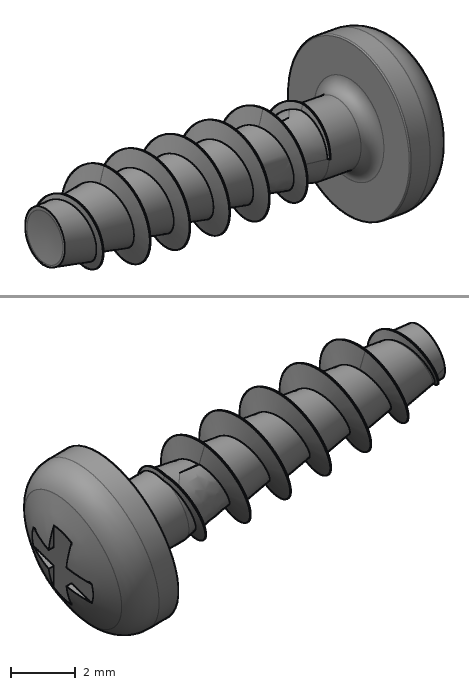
import cadquery as cq
import math

overall_length = 14.43

head_diameter = 6.1
head_radius = head_diameter / 2
head_side_height = 0.8
head_corner_radius = 1.15
crown_radius = 5.05
head_edge_fillet = 0.05

slot_width = 0.9
slot_depth = 0.2

neck_radius = 1.24
neck_fillet = 0.5
neck_length = 1.77
cone_length = 1.3

core_radius = 0.98
ramp_slope = 0.16
ramp_height = 0.23
ramp_root_sink = 0.03

dimple_radius = 0.9
dimple_depth = 0.09

pitch = 1.57
crest_radius = 1.76
crest_width = 0.05
tooth_height = 0.9
tooth_base_width = 0.56
thread_start_depth = 1.8
tooth_entry_radius = 1.31
tooth_first_radius = 1.43
entry_turns = 0.25
entry_drop = 0.03
fade_in_turns = 1.0
full_turns = 4.0
fade_out_turns = 1.5
ramp_full_turns = 5.6
ramp_fade_turns = 0.65

points_per_turn = 24

corner_center_radius = head_radius - head_corner_radius
centers_distance = crown_radius - head_corner_radius
crown_center_height = head_side_height - math.sqrt(centers_distance**2 - corner_center_radius**2)
crown_apex_height = crown_center_height + crown_radius

slot_corner_radius = slot_width / math.sqrt(2)
head_height = crown_center_height + math.sqrt(crown_radius**2 - slot_corner_radius**2)
shank_length = overall_length - head_height


def arc_point(center_x, center_y, radius, angle):
    """Point on an arc, with the angle measured from the screw axis."""
    return (center_x + radius * math.sin(angle), center_y + radius * math.cos(angle))


def make_head():
    tangent_angle = math.asin(corner_center_radius / centers_distance)
    corner_mid_angle = (tangent_angle + math.pi / 2) / 2
    profile = (
        cq.Workplane("XY")
        .lineTo(head_radius, 0)
        .lineTo(head_radius, head_side_height)
        .threePointArc(
            arc_point(corner_center_radius, head_side_height, head_corner_radius, corner_mid_angle),
            arc_point(corner_center_radius, head_side_height, head_corner_radius, tangent_angle),
        )
        .threePointArc(
            arc_point(0, crown_center_height, crown_radius, tangent_angle / 2),
            (0, crown_apex_height),
        )
        .close()
    )
    head = profile.revolve(360, (0, 0, 0), (0, 1, 0))
    head = head.faces("<Y").edges().fillet(head_edge_fillet)
    slot_floor = head_height - slot_depth
    slot_top = crown_apex_height + slot_depth
    slot_length = 2 * head_radius
    slot_block_height = slot_top - slot_floor
    slot_middle = (0, (slot_top + slot_floor) / 2, 0)
    slot_x = cq.Workplane("XY").box(slot_length, slot_block_height, slot_width).translate(slot_middle)
    slot_z = cq.Workplane("XY").box(slot_width, slot_block_height, slot_length).translate(slot_middle)
    return head.cut(slot_x).cut(slot_z)


def make_core():
    """Neck with its fillet into the head, run-out cone and core cylinder, overlapping the head."""
    overlap = head_side_height / 2
    fillet_radius = neck_radius + neck_fillet
    fillet_mid = neck_fillet * (1 - math.sqrt(0.5))
    return (
        cq.Workplane("XY")
        .moveTo(0, overlap)
        .lineTo(fillet_radius, overlap)
        .lineTo(fillet_radius, 0)
        .threePointArc((neck_radius + fillet_mid, -fillet_mid), (neck_radius, -neck_fillet))
        .lineTo(neck_radius, -neck_length)
        .lineTo(core_radius, -neck_length - cone_length)
        .lineTo(core_radius, -shank_length)
        .lineTo(0, -shank_length)
        .close()
        .revolve(360, (0, 0, 0), (0, 1, 0))
    )


def station_point(turn, depth, radius):
    """Point on the thread: turn 0 is at +Z and the thread runs right-handed toward -Y."""
    angle = 2 * math.pi * turn
    return cq.Vector(-radius * math.sin(angle), -depth, radius * math.cos(angle))


def helix_edge(start, end):
    """Helix between two (turn, depth, radius) stations; its radius may grow or shrink on the way."""
    steps = math.ceil((end[0] - start[0]) * points_per_turn)
    fractions = [i / steps for i in range(steps + 1)]
    points = [
        station_point(*(a + (b - a) * fraction for a, b in zip(start, end)))
        for fraction in fractions
    ]
    return cq.Edge.makeSpline(points, parameters=fractions)


def helical_solid(sections):
    """Solid through a row of sections, each a closed list of (turn, depth, radius) corners."""
    faces = []
    for section, next_section in zip(sections, sections[1:]):
        edges = [helix_edge(a, b) for a, b in zip(section, next_section)]
        for edge, neighbour in zip(edges, edges[1:] + edges[:1]):
            faces.append(cq.Face.makeRuledSurface(edge, neighbour))
    for end_section in (sections[0], sections[-1]):
        corners = [station_point(*corner) for corner in end_section]
        faces.append(cq.Face.makeFromWires(cq.Wire.makePolygon(corners, close=True)))
    solid = cq.Solid.makeSolid(cq.Shell.makeShell(faces))
    return cq.Workplane(solid.fix())


def tooth_section(turn, depth, crest):
    root = crest - tooth_height
    return [
        (turn, depth - tooth_base_width / 2, root),
        (turn, depth - crest_width / 2, crest),
        (turn, depth + crest_width / 2, crest),
        (turn, depth + tooth_base_width / 2, root),
    ]


def thread_depth(turn):
    return thread_start_depth + pitch * turn


def make_tooth():
    """Tooth that rises out of the core, runs at full height and sinks back toward the tip."""
    fade_out_start = fade_in_turns + full_turns
    thread_end = fade_out_start + fade_out_turns
    return helical_solid([
        tooth_section(-entry_turns, thread_start_depth - entry_drop, tooth_entry_radius),
        tooth_section(0, thread_start_depth, tooth_first_radius),
        tooth_section(fade_in_turns, thread_depth(fade_in_turns), crest_radius),
        tooth_section(fade_out_start, thread_depth(fade_out_start), crest_radius),
        tooth_section(thread_end, thread_depth(thread_end), core_radius),
    ])


def ramp_section(turn, height):
    depth = thread_depth(turn)
    root = core_radius - ramp_root_sink
    ramp_length = (ramp_height + ramp_root_sink) / ramp_slope
    return [
        (turn, depth, root - ramp_height),
        (turn, depth, core_radius + height),
        (turn, depth + ramp_length, root),
    ]


def make_ramp():
    """Sloped surface that falls from each tooth toward the tip and fades out near the end."""
    ramp_end = ramp_full_turns + ramp_fade_turns
    return helical_solid([
        ramp_section(0, ramp_height),
        ramp_section(ramp_full_turns, ramp_height),
        ramp_section(ramp_end, 0),
    ])


def make_tip_trim():
    """Block beyond the flat tip, where the thread is cut off."""
    return (
        cq.Workplane("XZ", origin=(0, -shank_length, 0))
        .circle(head_radius)
        .extrude(2 * pitch)
    )


def make_tip_dimple():
    sphere_radius = (dimple_radius**2 + dimple_depth**2) / (2 * dimple_depth)
    sphere_center = -shank_length + dimple_depth - sphere_radius
    return cq.Workplane("XY").sphere(sphere_radius).translate((0, sphere_center, 0))


shank = make_core().union(make_ramp()).union(make_tooth())
shank = shank.cut(make_tip_trim()).cut(make_tip_dimple())
result = make_head().union(shank)